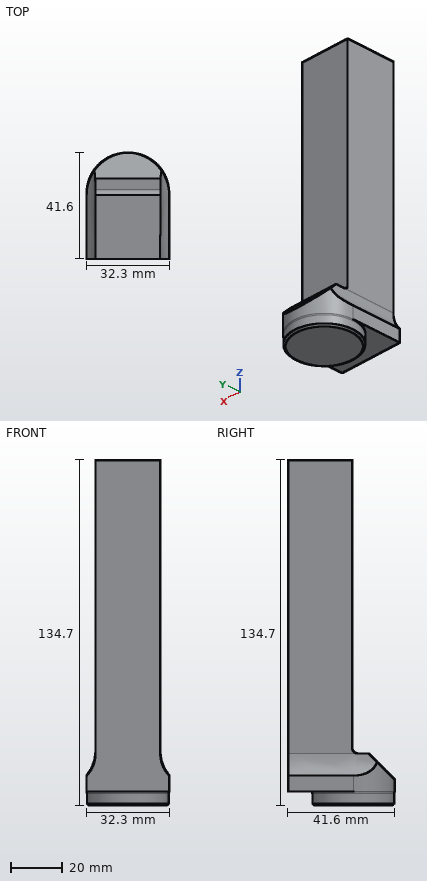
import cadquery as cq
import math

total_height = 134.72
head_width = 32.3
head_depth = 41.62

disc_diameter = 32.0
disc_chamfer = 0.9
disc_wall_top = 4.8
head_base = 5.4
head_radius = head_width / 2
nose_center_y = head_depth - head_radius

shelf_height = 20.4
flare_radius = 12.7
nose_slope_run = 10.2
nose_slope_angle = 45.0

shank_back_width = 25.4
shank_front_width = 25.12
shank_depth = 25.1
heel_fillet = 2.0

side_slope = (shank_back_width - shank_front_width) / 2 / shank_depth
flare_width = (head_width - shank_back_width) / 2
flare_drop = math.sqrt(flare_radius**2 - (flare_radius - flare_width) ** 2)
flare_base = shelf_height - flare_drop
shank_height = total_height - shelf_height


def half_width_at(y):
    """Half-width of the shank sides, which spread slightly from front to back."""
    return shank_front_width / 2 + side_slope * y


def make_disc():
    """Chamfered round disc that tapers out slightly where it meets the head."""
    disc_radius = disc_diameter / 2
    half_section = (
        cq.Workplane("XZ")
        .lineTo(disc_radius - disc_chamfer, 0)
        .lineTo(disc_radius, disc_chamfer)
        .lineTo(disc_radius, disc_wall_top)
        .lineTo(head_radius, head_base)
        .lineTo(0, head_base)
        .close()
    )
    disc = half_section.revolve(360, (0, 0, 0), (0, 1, 0))
    return disc.translate((0, nose_center_y, 0))


def make_head_plan():
    """Straight-sided plan with a round nose toward +Y."""
    return (
        cq.Workplane("XY", origin=(0, 0, head_base))
        .moveTo(-head_radius, 0)
        .lineTo(head_radius, 0)
        .lineTo(head_radius, nose_center_y)
        .threePointArc((0, head_depth), (-head_radius, nose_center_y))
        .close()
        .extrude(shelf_height - head_base)
    )


def make_flare_wire(y):
    """Head cross-section at y: upright sides, then concave flares up to the shank sides."""
    half_top = half_width_at(y)
    width = head_radius - half_top
    radius = (width**2 + flare_drop**2) / (2 * width)
    half_angle = math.asin(flare_drop / radius) / 2
    middle_x = half_top + radius * (1 - math.cos(half_angle))
    middle_z = shelf_height - radius * math.sin(half_angle)
    return (
        cq.Workplane("XZ", origin=(0, y, 0))
        .moveTo(-head_radius, head_base)
        .lineTo(head_radius, head_base)
        .lineTo(head_radius, flare_base)
        .threePointArc((middle_x, middle_z), (half_top, shelf_height))
        .lineTo(-half_top, shelf_height)
        .threePointArc((-middle_x, middle_z), (-head_radius, flare_base))
        .close()
        .val()
    )


def make_flared_body():
    """Flared cross-section carried from the front face to the nose."""
    wires = [make_flare_wire(y) for y in (0, head_depth)]
    return cq.Workplane(obj=cq.Solid.makeLoft(wires, True))


def make_nose_cut():
    """Wedge that slopes the top of the nose down toward +Y."""
    slope_drop = nose_slope_run * math.tan(math.radians(nose_slope_angle))
    return (
        cq.Workplane("YZ", origin=(-head_radius, 0, 0))
        .moveTo(head_depth - nose_slope_run, shelf_height)
        .lineTo(head_depth, shelf_height)
        .lineTo(head_depth, shelf_height - slope_drop)
        .close()
        .extrude(head_width)
    )


def make_tapered_block(y_front, y_back, height):
    """Block on the shelf whose sides follow the shank taper."""
    front_half = half_width_at(y_front)
    back_half = half_width_at(y_back)
    return (
        cq.Workplane("XY", origin=(0, 0, shelf_height))
        .moveTo(-front_half, y_front)
        .lineTo(front_half, y_front)
        .lineTo(back_half, y_back)
        .lineTo(-back_half, y_back)
        .close()
        .extrude(height)
    )


def make_shank():
    """Upright shank with a concave fillet where its back meets the shelf."""
    heel_back = shank_depth + heel_fillet
    heel_round = (
        cq.Workplane("YZ", origin=(-head_radius, 0, 0))
        .center(heel_back, shelf_height + heel_fillet)
        .circle(heel_fillet)
        .extrude(head_width)
    )
    heel = make_tapered_block(shank_depth, heel_back, heel_fillet).cut(heel_round)
    return make_tapered_block(0, shank_depth, shank_height).union(heel)


head = make_head_plan().intersect(make_flared_body()).cut(make_nose_cut())
result = head.union(make_disc()).union(make_shank())